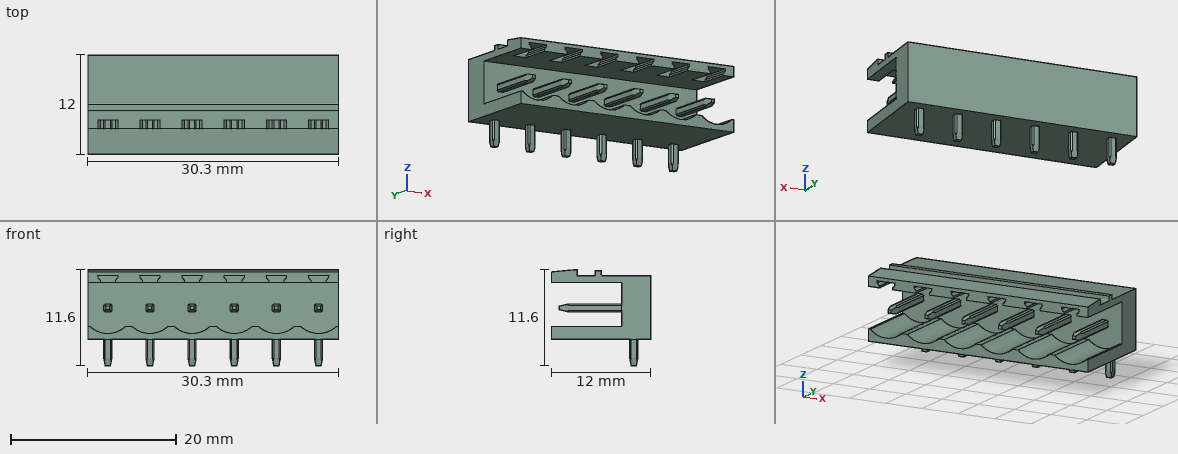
import cadquery as cq


pin_count = 6
pin_pitch = 5.1

length = 30.28
depth = 12.0
back_wall = 3.5
floor_thickness = 1.55
mouth_top = 6.85
roof_top = 7.7

ridge_rear = 5.97
ridge_width = 0.75
ridge_foot_radius = 0.12
ridge_top = 8.3

lip_rear = 8.87
lip_flat = 0.27
lip_top = 8.42
lip_front_top = 8.15

scallop_width = 4.27
scallop_depth = 0.85

slot_rear = 7.85
slot_top_width = 2.42
slot_bottom_width = 1.82
slot_top_straight = 0.25
slot_bottom_straight = 0.25

pin_width = 1.0
pin_diagonal = 1.18
contact_z = 3.8
contact_tip = 11.08
contact_taper = 1.18
contact_tip_width = 0.42
tail_y = -2.05
tail_tip = 3.2
tail_taper = 0.9
tail_tip_width = 0.65

pin_places = [(i - (pin_count - 1) / 2) * pin_pitch for i in range(pin_count)]


def make_bar(bar_length, taper, tip_width):
    """Square bar with corners turned round, along +Z from the origin, tapered at its far end."""
    shank_length = bar_length - taper
    round_bar = cq.Workplane("XY").circle(pin_diagonal / 2).extrude(bar_length)
    envelope = (
        cq.Workplane("XY")
        .rect(pin_width, pin_width)
        .extrude(shank_length)
        .faces(">Z")
        .workplane()
        .rect(pin_width, pin_width)
        .workplane(offset=taper)
        .rect(tip_width, tip_width)
        .loft(combine=True)
    )
    return round_bar.intersect(envelope)


def make_pin(x):
    """Contact bar and tail bar joined at a square elbow inside the back wall."""
    elbow_rear = tail_y + pin_width / 2
    elbow_top = contact_z + pin_width / 2
    contact = (
        make_bar(contact_tip + elbow_rear, contact_taper, contact_tip_width)
        .rotate((0, 0, 0), (1, 0, 0), 90)
        .translate((x, elbow_rear, contact_z))
    )
    tail = (
        make_bar(elbow_top + tail_tip, tail_taper, tail_tip_width)
        .rotate((0, 0, 0), (1, 0, 0), 180)
        .translate((x, tail_y, elbow_top))
    )
    return contact.union(tail)


def make_profile():
    """Side profile of the housing over its whole length, with filleted ridge feet."""
    foot_edges = cq.selectors.BoxSelector(
        (-length, -ridge_rear - ridge_width - ridge_foot_radius, roof_top - ridge_foot_radius),
        (length, -ridge_rear + ridge_foot_radius, roof_top + ridge_foot_radius),
    )
    return (
        cq.Workplane("YZ")
        .moveTo(0, 0)
        .lineTo(0, roof_top)
        .lineTo(-ridge_rear, roof_top)
        .lineTo(-ridge_rear, ridge_top)
        .lineTo(-ridge_rear - ridge_width, ridge_top)
        .lineTo(-ridge_rear - ridge_width, roof_top)
        .lineTo(-lip_rear, roof_top)
        .lineTo(-lip_rear, lip_top)
        .lineTo(-lip_rear - lip_flat, lip_top)
        .lineTo(-depth, lip_front_top)
        .lineTo(-depth, mouth_top)
        .lineTo(-back_wall, mouth_top)
        .lineTo(-back_wall, floor_thickness)
        .lineTo(-depth, floor_thickness)
        .lineTo(-depth, 0)
        .close()
        .extrude(length / 2, both=True)
        .edges(foot_edges)
        .fillet(ridge_foot_radius)
    )


def make_scallop(x):
    """Circular trough along the mouth floor."""
    radius = (scallop_width**2 / 4 + scallop_depth**2) / (2 * scallop_depth)
    center_z = floor_thickness - scallop_depth + radius
    half_width = scallop_width / 2
    return (
        cq.Workplane("XZ", origin=(0, -back_wall, 0))
        .moveTo(x - half_width, floor_thickness)
        .threePointArc((x, center_z - radius), (x + half_width, floor_thickness))
        .close()
        .extrude(depth - back_wall)
    )


def make_slot(x):
    """Dovetail slot from the mouth up to the roof level, open at the front."""
    half_top = slot_top_width / 2
    half_bottom = slot_bottom_width / 2
    return (
        cq.Workplane("XZ", origin=(x, -slot_rear, 0))
        .moveTo(-half_top, roof_top)
        .lineTo(half_top, roof_top)
        .lineTo(half_top, roof_top - slot_top_straight)
        .lineTo(half_bottom, mouth_top + slot_bottom_straight)
        .lineTo(half_bottom, mouth_top)
        .lineTo(-half_bottom, mouth_top)
        .lineTo(-half_bottom, mouth_top + slot_bottom_straight)
        .lineTo(-half_top, roof_top - slot_top_straight)
        .close()
        .extrude(depth - slot_rear)
    )


pins = [make_pin(x) for x in pin_places]

housing = make_profile()
for x in pin_places:
    housing = housing.cut(make_scallop(x)).cut(make_slot(x))
for pin in pins:
    housing = housing.cut(pin)

result = cq.Compound.makeCompound([housing.val(), *[pin.val() for pin in pins]])